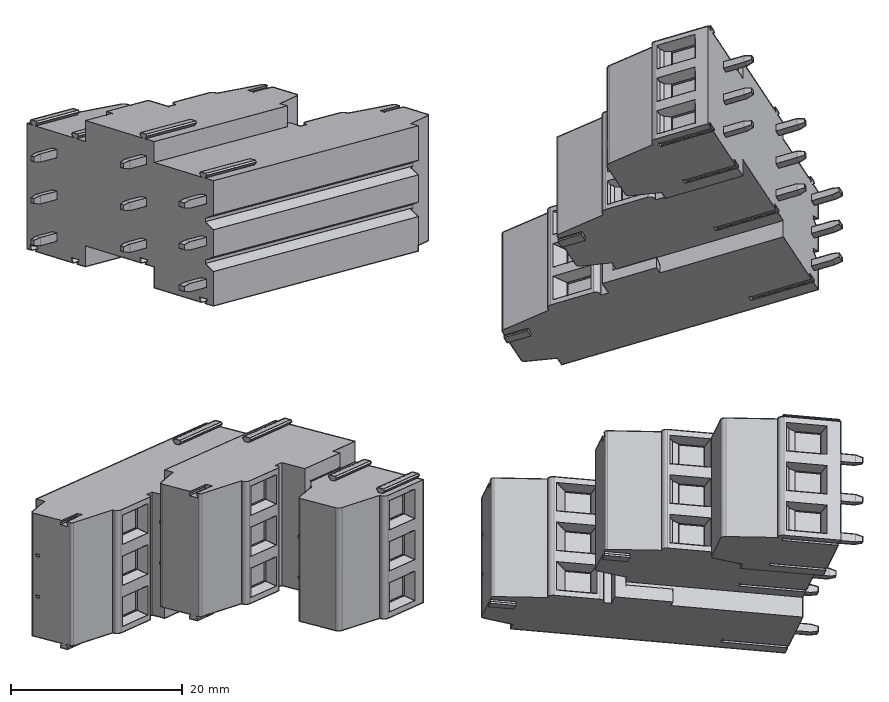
import cadquery as cq


pole_pitch = 5.08
pole_count = 3
tier_height = pole_count * pole_pitch
middle_shift = pole_pitch / 2
tier_rise = 11.4
low_edge = 10.0
middle_edge = 21.7
high_edge = 31.8

top_y = 13.82
top_left = 1.8
top_right = 7.78
back_fillet = 0.5
slope_foot_x = 0.75
slope_foot_y = 7.37
back_foot_x = 8.85
back_step_y = 9.85
wall_radius = 0.6
undercut_x = 0.8
undercut_y = 0.73

lip_bottom_y = 4.27
middle_lip_gap = 0.73
high_lip_gap = 0.9
lip_slant = 0.4

window_start_y = 1.65
window_length = 4.85
window_height = 3.63
window_inset = 0.5
funnel_depth = 1.15
window_depth = 1.45
lead_in_y = 0.12
lead_in_depth = 0.55
funnel_end_y = 1.3
shoulder_y = 0.5
shoulder_depth = 0.9

pin_height = 1.0
pin_length = 3.55
pin_tip_length = 0.9
pin_tip_height = 0.6
pin_root = 1.2
narrow_pin = 0.75
wide_pin = 0.9
pin_tip_width = 0.52

key_height = 0.6
key_width = 1.2
key_neck = 0.55
key_rim = 0.2
key_edge_chamfer = 0.15
low_key_length = 6.7
high_key_length = 7.9
rear_key_length = 3.02
rear_key_height = 0.55
rear_key_rim = 0.25
embed = 0.2

notch_depth = 1.37
notch_half_height = 0.9
notch_tip_half_height = 0.2

nub_radius = 0.3
nub_height = 0.3
nub_rise = 0.12
nub_x = 6.8
back_nub_width = 0.35
back_nub_length = 0.73
back_nub_x = 8.1
back_nub_y = 12.8

low = dict(wall=0, rise=0, z=0, start=0, end=low_edge, entry_fillet=0.6)
middle = dict(wall=11.55, rise=tier_rise, z=middle_shift, start=low_edge, end=middle_edge,
              entry_fillet=0.32, lip=9.0, foot_y=-0.45)
high = dict(wall=middle_edge, rise=2 * tier_rise, z=0, start=middle_edge, end=high_edge,
            entry_fillet=0.32, lip=20.67, foot_y=-0.25)
tiers = [low, middle, high]

pole_heights = [(i + 0.5) * pole_pitch for i in range(pole_count)]
division_heights = [i * pole_pitch for i in range(1, pole_count)]


def box(x0, x1, y0, y1, z0, z1):
    return cq.Workplane("XY").box(x1 - x0, y1 - y0, z1 - z0, centered=False).translate((x0, y0, z0))


def head_outline(tier, outline):
    """Continue an outline standing on the wire-entry wall around the head to the tier's far edge."""
    wall, rise = tier["wall"], tier["rise"]
    head = (
        outline
        .lineTo(wall, rise + slope_foot_y - wall_radius)
        .radiusArc((wall + wall_radius, rise + slope_foot_y), wall_radius)
        .lineTo(wall + slope_foot_x, rise + slope_foot_y)
        .lineTo(wall + top_left, rise + top_y)
        .lineTo(wall + top_right, rise + top_y)
        .lineTo(wall + back_foot_x, rise + back_step_y)
        .lineTo(tier["end"], rise + back_step_y)
        .lineTo(tier["end"], 0)
        .close()
        .extrude(tier_height)
    )
    entry_corner = cq.selectors.NearestToPointSelector((wall + top_left, rise + top_y, tier_height / 2))
    back_corner = cq.selectors.NearestToPointSelector((wall + top_right, rise + top_y, tier_height / 2))
    head = head.edges("|Z").edges(entry_corner).fillet(tier["entry_fillet"])
    head = head.edges("|Z").edges(back_corner).fillet(back_fillet)
    return head.translate((0, 0, tier["z"]))


def low_tier_body():
    return head_outline(low, cq.Workplane("XY").moveTo(0, 0))


def stepped_tier_body(tier):
    """A tier that stands beside a lower one and steps out over its back step."""
    wall, rise = tier["wall"], tier["rise"]
    lower_step_y = rise - tier_rise + back_step_y
    outline = (
        cq.Workplane("XY")
        .moveTo(tier["start"], 0)
        .lineTo(tier["start"], lower_step_y)
        .lineTo(tier["lip"], lower_step_y)
        .lineTo(tier["lip"], rise + tier["foot_y"])
        .lineTo(wall + undercut_x, rise + tier["foot_y"])
        .lineTo(wall + undercut_x, rise + undercut_y)
        .lineTo(wall + wall_radius, rise + undercut_y)
        .radiusArc((wall, rise + undercut_y + wall_radius), wall_radius)
    )
    return head_outline(tier, outline)


def lip(tier, outer_z, tip_z, root_z):
    """Wedge-shaped lip running down over the face of the lower tier."""
    bottom_y = tier["rise"] - tier_rise + lip_bottom_y
    top_edge_y = tier["rise"] - tier_rise + back_step_y
    return (
        cq.Workplane("XZ", origin=(0, top_edge_y, 0))
        .polyline([
            (tier["lip"], outer_z), (tier["start"], outer_z),
            (tier["start"], root_z), (tier["lip"], tip_z),
        ])
        .close()
        .extrude(top_edge_y - bottom_y)
    )


def window(tier, pole_z, plain_funnel):
    """Funnel-shaped wire entry: a Z taper crossed with a stepped side profile."""
    half = window_height / 2
    half_floor = half - window_inset
    taper = (
        cq.Workplane("XZ")
        .polyline([
            (0, -half), (funnel_depth, -half_floor), (window_depth, -half_floor),
            (window_depth, half_floor), (funnel_depth, half_floor), (0, half),
        ])
        .close()
        .extrude(-window_length)
    )
    side = (
        cq.Workplane("XY", origin=(0, 0, -half))
        .moveTo(0, 0)
        .lineTo(funnel_depth, window_inset)
        .lineTo(window_depth, window_inset)
        .lineTo(window_depth, window_length - funnel_end_y)
        .lineTo(funnel_depth, window_length - funnel_end_y)
    )
    if not plain_funnel:
        side = (
            side
            .lineTo(shoulder_depth, window_length - shoulder_y)
            .radiusArc((lead_in_depth, window_length - lead_in_y), shoulder_y)
        )
    side = side.lineTo(0, window_length).close().extrude(window_height)
    position = (tier["wall"], tier["rise"] + window_start_y, tier["z"] + pole_z)
    return taper.intersect(side).translate(position)


def pin(x, z, width, tip_width):
    shaft_end = pin_length - pin_tip_length
    shaft = box(x - width / 2, x + width / 2, -shaft_end, pin_root, z - pin_height / 2, z + pin_height / 2)
    tip = (
        cq.Workplane("XZ", origin=(x, -shaft_end, z))
        .rect(width, pin_height)
        .workplane(offset=pin_tip_length)
        .rect(tip_width, pin_tip_height)
        .loft(ruled=True)
    )
    return shaft.union(tip)


def dovetail(x, z, neck, width, height, rim, chamfer, y0, y1, out):
    """Dovetail bar along Y standing on height z; out = 1 points up, -1 points down."""
    tip_z = z + out * height
    rim_z = tip_z - out * rim
    half = width / 2
    points = [
        (x - neck / 2, z - out * embed), (x - neck / 2, z),
        (x - half, rim_z), (x - half + chamfer, tip_z),
        (x + half - chamfer, tip_z), (x + half, rim_z),
        (x + neck / 2, z), (x + neck / 2, z - out * embed),
    ]
    return cq.Workplane("XZ", origin=(0, y0, 0)).polyline(points).close().extrude(y0 - y1)


def marker_notch(z):
    points = [
        (high_edge, z - notch_half_height), (high_edge - notch_depth, z - notch_tip_half_height),
        (high_edge - notch_depth, z + notch_tip_half_height), (high_edge, z + notch_half_height),
    ]
    return cq.Workplane("XZ").polyline(points).close().extrude(-(high["rise"] + top_y))


result = low_tier_body()
for tier in (middle, high):
    result = result.union(stepped_tier_body(tier))
middle_lip_z = tier_height + middle_lip_gap
high_lip_z = middle_shift - high_lip_gap
result = result.union(lip(middle, middle_shift + tier_height, middle_lip_z, middle_lip_z + lip_slant))
result = result.union(lip(high, 0, high_lip_z, high_lip_z - lip_slant))

for tier in tiers:
    for pole_z in pole_heights:
        result = result.cut(window(tier, pole_z, plain_funnel=tier is high))

for z in division_heights:
    result = result.cut(marker_notch(z))

front_keys = [
    (low, 1.15, low_key_length),
    (low, 8.22, low_key_length),
    (middle, 19.85, high_key_length),
    (high, 30.05, high_key_length),
]
for tier, x, length in front_keys:
    bottom = tier["z"]
    groove = dovetail(x, bottom, key_neck, key_width, key_height, key_rim, 0, 0, length, 1)
    key = dovetail(x, bottom + tier_height, key_neck, key_width, key_height, key_rim,
                   key_edge_chamfer, 0, length, 1)
    result = result.cut(groove).union(key)

rear_keys = [(middle, 14.43, 0.9, 1.15), (high, 24.65, 0.65, 1.0)]
for tier, x, neck, width in rear_keys:
    bottom = tier["z"]
    rear = tier["rise"] + top_y
    front = rear - rear_key_length
    groove = dovetail(x, bottom + tier_height, neck, width, rear_key_height, rear_key_rim, 0, front, rear, -1)
    key = dovetail(x, bottom, neck, width, rear_key_height, rear_key_rim, 0, front, rear, -1)
    result = result.cut(groove).union(key)

pin_rows = [
    (low, 4.75, narrow_pin, pin_tip_width),
    (middle, 20.0, wide_pin, pin_tip_width),
    (high, 30.22, wide_pin, wide_pin),
]
for tier, x, width, tip_width in pin_rows:
    for pole_z in pole_heights:
        result = result.union(pin(x, tier["z"] + pole_z, width, tip_width))

for z in division_heights:
    top_nub = (
        cq.Workplane("XY")
        .center(high["wall"] + nub_x, high["rise"] + top_y + nub_rise - nub_radius)
        .circle(nub_radius)
        .extrude(nub_height)
        .translate((0, 0, z - nub_height / 2))
    )
    result = result.union(top_nub)
    for tier in (low, middle):
        x = tier["wall"] + back_nub_x
        y = tier["rise"] + back_nub_y
        z0 = tier["z"] + z - nub_height / 2
        nub = box(x - back_nub_width / 2, x + back_nub_width / 2, y - back_nub_length / 2,
                  y + back_nub_length / 2, z0, z0 + nub_height)
        result = result.union(nub)